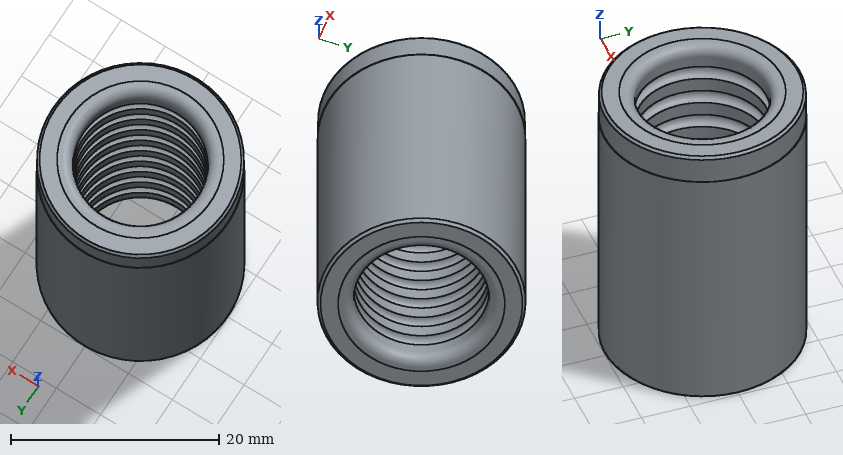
import cadquery as cq

length = 30.0
outer_diameter = 20.0

relief_length = 3.0
relief_diameter = 19.92
top_chamfer = 0.27
bottom_chamfer = 0.3

liner_diameter = 16.02
mouth_diameter = 15.0
bore_diameter = 13.02
mouth_radius = (mouth_diameter - bore_diameter) / 2

groove_pitch = 3.0
groove_radius = 0.75
groove_count = round(length / groove_pitch) - 1


def make_housing():
    """Sleeve with a relieved top collar, chamfered ends and a bore for the liner."""
    body_length = length - relief_length
    body = cq.Workplane("XY").circle(outer_diameter / 2).extrude(body_length)
    body = body.faces("<Z").chamfer(bottom_chamfer)
    collar = cq.Workplane("XY").workplane(offset=body_length)
    collar = collar.circle(relief_diameter / 2).extrude(relief_length)
    collar = collar.faces(">Z").chamfer(top_chamfer)
    liner_bore = cq.Workplane("XY").circle(liner_diameter / 2).extrude(length)
    return body.union(collar).cut(liner_bore)


def make_ring_groove(height):
    """Ring cutter with a round section, centred on the bore surface."""
    section = cq.Workplane("XZ").center(bore_diameter / 2, height).circle(groove_radius)
    axis_start = (-bore_diameter / 2, 0)
    axis_end = (-bore_diameter / 2, 1)
    return section.revolve(360, axis_start, axis_end)


def make_liner():
    """Tube with rounded mouths and evenly spaced ring grooves in its bore."""
    liner = cq.Workplane("XY").circle(liner_diameter / 2).circle(bore_diameter / 2).extrude(length)
    liner = liner.edges(cq.selectors.RadiusNthSelector(0)).fillet(mouth_radius)
    for index in range(groove_count):
        liner = liner.cut(make_ring_groove((index + 1) * groove_pitch))
    return liner


housing = make_housing()
liner = make_liner()

result = cq.Compound.makeCompound([housing.val(), liner.val()])